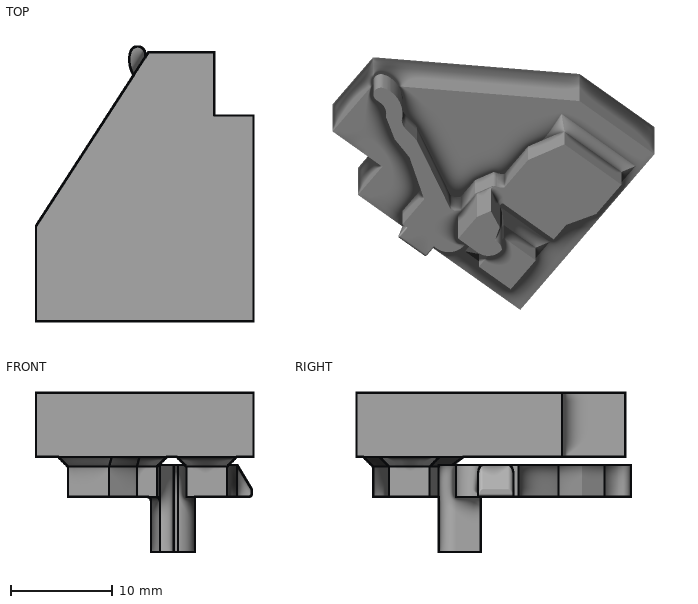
import cadquery as cq
import math

QUARTER_MIDDLE = -45
FILLET_MIDDLE = 225

COVER_HEIGHT = 6.33
FLARE_HEIGHT = 0.98
LATCH_TOP = -0.79
LATCH_BOTTOM = -3.96
STEM_BOTTOM = -9.40
LATCH_HEIGHT = LATCH_TOP - LATCH_BOTTOM

COVER_WIDTH = 21.49
COVER_DEPTH = 26.53
SLANT_START_Y = 9.38
SLANT_END_X = 11.10
NOTCH_X = 17.60
NOTCH_Y = 20.30

PAD_FRONT_Y = 1.66
PAD_STEP_Y = 3.25
WIDE_PAD_LEFT = 3.17
WIDE_PAD_BEND_START = 7.23
WIDE_PAD_BEND_END = 9.97
WIDE_PAD_RIGHT = 11.97
WIDE_PAD_LEFT_BACK_Y = 8.78
WIDE_PAD_RIGHT_BACK_Y = 9.30
WIDE_PAD_BACK_HOLLOW = 0.40
SMALL_PAD_LEFT = 14.86
SMALL_PAD_RIGHT = 18.85
SMALL_PAD_DEPTH = SMALL_PAD_RIGHT - SMALL_PAD_LEFT

STEM_BACK_LEFT = (11.36, 11.60)
STEM_FRONT_LEFT = (12.23, 9.80)
LOBE_START = (13.65, 9.32)
LOBE_SIDE = (13.60, 8.90)
LOBE_END = (14.03, 8.13)
STEM_NOSE_RADIUS = 1.68
NOSE_CENTER = (LOBE_END[0], LOBE_END[1] + STEM_NOSE_RADIUS)
NOSE_RIGHT = (NOSE_CENTER[0] + STEM_NOSE_RADIUS, NOSE_CENTER[1])
STEM_BACK_CORNER = (12.72, 12.28)
STEM_ROOT_FILLET = 0.45

BRIDGE_PAD_OVERLAP = 1.00
BRIDGE_FRONT_Y = 9.65
BRIDGE_SLOPE_END = (6.73, 10.56)
BRIDGE_END = (10.50, 10.56)
BRIDGE_INSIDE_MIDDLE = (10.74, 10.86)
BRIDGE_CORNER_START = (10.90, 11.22)
BRIDGE_CORNER_MIDDLE = (10.95, 11.40)
BRIDGE_CORNER_END = (11.06, 11.55)
SHOULDER_SLOPE_END = (12.82, 12.42)
ARM_ROOT_START = (15.10, 12.42)
ARM_ROOT_MIDDLE = (15.46, 12.80)
ARM_ROOT_END = (15.60, 13.36)
ARM_BEND = (12.10, 19.95)
ARM_UPPER_BEND = (11.80, 20.52)
LATCH_CORNER_RADIUS = 1.93
LATCH_RIGHT_X = 19.85
LATCH_FRONT_Y = NOSE_CENTER[1]
LATCH_BACK_Y = 16.00
ARM_THICKNESS = 1.60

HOOK_TIP_Y = 27.11
HOOK_LEFT_X = 9.20
HOOK_WIDTH = 1.60
HOOK_TIP_RADIUS = 0.75
HOOK_TIP_END_ANGLE = 167
HOOK_SHOULDER = (HOOK_LEFT_X + 0.03, 26.20)
HOOK_OUTER_RADIUS = 3.10
HOOK_SWEEP = 65
HOOK_CENTER = (HOOK_LEFT_X + HOOK_OUTER_RADIUS, 25.85)
HOOK_INNER_RADIUS = HOOK_OUTER_RADIUS - HOOK_WIDTH
HOOK_NECK = (11.45, 22.30)
HOOK_NECK_MIDDLE = (11.28, 22.68)

BOLT_TIP_X = 21.30
BOLT_TIP_Z = -3.20
BOLT_FRONT_Y = 12.00
BOLT_BACK_Y = 15.50
BOLT_TIP_FILLET = 0.30
BOLT_SLOPE_FILLET = 0.50
BOLT_BOTTOM_FILLET = 0.15


def point_on_circle(center, radius, degrees):
    angle = math.radians(degrees)
    return (center[0] + radius * math.cos(angle), center[1] + radius * math.sin(angle))


def hook_point(radius, sweep):
    """Point of the hook bend, with the sweep measured from its left side down."""
    return point_on_circle(HOOK_CENTER, radius, 180 + sweep)


def make_cover():
    outline = [
        (0, 0),
        (COVER_WIDTH, 0),
        (COVER_WIDTH, NOTCH_Y),
        (NOTCH_X, NOTCH_Y),
        (NOTCH_X, COVER_DEPTH),
        (SLANT_END_X, COVER_DEPTH),
        (0, SLANT_START_Y),
    ]
    return cq.Workplane("XY").polyline(outline).close().extrude(COVER_HEIGHT)


def wide_pad_outline(plane):
    middle_x = (WIDE_PAD_LEFT + WIDE_PAD_RIGHT) / 2
    middle_y = (WIDE_PAD_LEFT_BACK_Y + WIDE_PAD_RIGHT_BACK_Y) / 2 - WIDE_PAD_BACK_HOLLOW
    return (
        plane.moveTo(WIDE_PAD_LEFT, PAD_FRONT_Y)
        .lineTo(WIDE_PAD_BEND_START, PAD_FRONT_Y)
        .lineTo(WIDE_PAD_BEND_END, PAD_STEP_Y)
        .lineTo(WIDE_PAD_RIGHT, PAD_STEP_Y)
        .lineTo(WIDE_PAD_RIGHT, WIDE_PAD_RIGHT_BACK_Y)
        .threePointArc((middle_x, middle_y), (WIDE_PAD_LEFT, WIDE_PAD_LEFT_BACK_Y))
        .close()
    )


def small_pad_outline(plane):
    center_x = (SMALL_PAD_LEFT + SMALL_PAD_RIGHT) / 2
    center_y = PAD_STEP_Y + SMALL_PAD_DEPTH / 2
    return plane.center(center_x, center_y).rect(SMALL_PAD_DEPTH, SMALL_PAD_DEPTH)


def make_pad(outline):
    """Straight pad with a flared top that ends on the underside of the cover."""
    flare_start = cq.Workplane("XY", origin=(0, 0, -FLARE_HEIGHT))
    block = outline(flare_start).extrude(LATCH_BOTTOM + FLARE_HEIGHT)
    narrow_end = outline(flare_start).wire().val()
    wide_end = narrow_end.offset2D(FLARE_HEIGHT, "intersection")[0].translate((0, 0, FLARE_HEIGHT))
    flare = cq.Workplane(cq.Solid.makeLoft([narrow_end, wide_end], True))
    return block.union(flare)


def stem_front(sketch):
    """Front edge of the stem, drawn left to right from its front left corner."""
    return (
        sketch.lineTo(*LOBE_START)
        .threePointArc(LOBE_SIDE, LOBE_END)
        .threePointArc(point_on_circle(NOSE_CENTER, STEM_NOSE_RADIUS, QUARTER_MIDDLE), NOSE_RIGHT)
    )


def make_stem():
    bottom = cq.Workplane("XY", origin=(0, 0, STEM_BOTTOM))
    sketch = stem_front(bottom.moveTo(*STEM_FRONT_LEFT))
    return (
        sketch.lineTo(NOSE_RIGHT[0], STEM_BACK_CORNER[1])
        .lineTo(*STEM_BACK_CORNER)
        .lineTo(*STEM_BACK_LEFT)
        .close()
        .extrude(LATCH_TOP - STEM_BOTTOM)
    )


def make_latch_plate():
    """Plate that joins the wide pad to the stem and carries the hooked arm."""
    tip_center = (HOOK_LEFT_X + HOOK_WIDTH - HOOK_TIP_RADIUS, HOOK_TIP_Y - HOOK_TIP_RADIUS)
    tip_end = point_on_circle(tip_center, HOOK_TIP_RADIUS, HOOK_TIP_END_ANGLE)
    corner_center = (LATCH_RIGHT_X - LATCH_CORNER_RADIUS, LATCH_FRONT_Y + LATCH_CORNER_RADIUS)
    corner_middle = point_on_circle(corner_center, LATCH_CORNER_RADIUS, QUARTER_MIDDLE)
    bottom = cq.Workplane("XY", origin=(0, 0, LATCH_BOTTOM))
    sketch = (
        bottom.moveTo(WIDE_PAD_LEFT, WIDE_PAD_LEFT_BACK_Y)
        .lineTo(WIDE_PAD_LEFT, WIDE_PAD_LEFT_BACK_Y - BRIDGE_PAD_OVERLAP)
        .lineTo(WIDE_PAD_RIGHT, WIDE_PAD_LEFT_BACK_Y - BRIDGE_PAD_OVERLAP)
        .lineTo(WIDE_PAD_RIGHT, BRIDGE_FRONT_Y)
        .lineTo(*STEM_FRONT_LEFT)
    )
    sketch = (
        stem_front(sketch)
        .lineTo(corner_center[0], LATCH_FRONT_Y)
        .threePointArc(corner_middle, (LATCH_RIGHT_X, corner_center[1]))
        .lineTo(LATCH_RIGHT_X, LATCH_BACK_Y)
        .lineTo(ARM_ROOT_END[0] + ARM_THICKNESS / 2, LATCH_BACK_Y)
        .lineTo(ARM_BEND[0] + ARM_THICKNESS, ARM_BEND[1])
        .lineTo(HOOK_NECK[0] + ARM_THICKNESS, HOOK_NECK[1])
        .lineTo(*hook_point(HOOK_INNER_RADIUS, HOOK_SWEEP))
        .threePointArc(hook_point(HOOK_INNER_RADIUS, HOOK_SWEEP / 2), hook_point(HOOK_INNER_RADIUS, 0))
        .lineTo(tip_center[0] + HOOK_TIP_RADIUS, tip_center[1])
        .threePointArc((tip_center[0], HOOK_TIP_Y), tip_end)
        .threePointArc(HOOK_SHOULDER, hook_point(HOOK_OUTER_RADIUS, 0))
        .threePointArc(
            hook_point(HOOK_OUTER_RADIUS, HOOK_SWEEP / 2), hook_point(HOOK_OUTER_RADIUS, HOOK_SWEEP)
        )
        .threePointArc(HOOK_NECK_MIDDLE, HOOK_NECK)
        .lineTo(*ARM_UPPER_BEND)
        .lineTo(*ARM_BEND)
        .lineTo(*ARM_ROOT_END)
        .threePointArc(ARM_ROOT_MIDDLE, ARM_ROOT_START)
        .lineTo(*SHOULDER_SLOPE_END)
        .lineTo(*BRIDGE_CORNER_END)
        .threePointArc(BRIDGE_CORNER_MIDDLE, BRIDGE_CORNER_START)
        .threePointArc(BRIDGE_INSIDE_MIDDLE, BRIDGE_END)
        .lineTo(*BRIDGE_SLOPE_END)
        .close()
    )
    return sketch.extrude(LATCH_HEIGHT)


def make_stem_root():
    """Concave fillet between the left side of the stem and the latch plate."""
    side_x = STEM_FRONT_LEFT[0] - STEM_BACK_LEFT[0]
    side_y = STEM_FRONT_LEFT[1] - STEM_BACK_LEFT[1]
    side_length = math.hypot(side_x, side_y)
    outward = (side_y / side_length, -side_x / side_length, 0)
    along = (side_x / side_length, side_y / side_length, 0)
    plane = cq.Plane(origin=(*STEM_BACK_LEFT, LATCH_BOTTOM), xDir=outward, normal=along)
    radius = STEM_ROOT_FILLET
    arc_middle = point_on_circle((radius, radius), radius, FILLET_MIDDLE)
    strip = (
        cq.Workplane(plane)
        .moveTo(0, 0)
        .lineTo(radius, 0)
        .threePointArc(arc_middle, (0, radius))
        .close()
        .extrude(side_length)
    )
    plate_shadow = make_latch_plate().translate((0, 0, -LATCH_HEIGHT))
    return strip.intersect(plate_shadow)


def make_bolt():
    """Wedge whose sloping face runs down and out to a blunt tip."""
    profile = [
        (LATCH_RIGHT_X - LATCH_CORNER_RADIUS, LATCH_BOTTOM),
        (BOLT_TIP_X, LATCH_BOTTOM),
        (BOLT_TIP_X, BOLT_TIP_Z),
        (LATCH_RIGHT_X, LATCH_TOP),
        (LATCH_RIGHT_X - LATCH_CORNER_RADIUS, LATCH_TOP),
    ]
    front = cq.Workplane("XZ", origin=(0, BOLT_FRONT_Y, 0))
    wedge = front.polyline(profile).close().extrude(BOLT_FRONT_Y - BOLT_BACK_Y)
    wedge = wedge.edges("|Y").edges(">X and <Z").fillet(BOLT_TIP_FILLET)
    wedge = wedge.edges("not(|X or |Y or |Z or %CIRCLE)").fillet(BOLT_SLOPE_FILLET)
    return wedge.faces("<Z").edges("|X").fillet(BOLT_BOTTOM_FILLET)


result = make_cover()
for body in (
    make_pad(wide_pad_outline),
    make_pad(small_pad_outline),
    make_latch_plate(),
    make_stem(),
    make_stem_root(),
    make_bolt(),
):
    result = result.union(body)